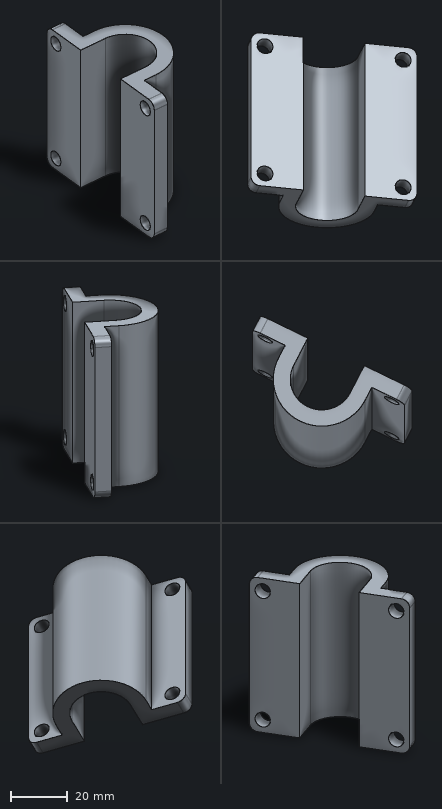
import cadquery as cq

width = 60.0
length = 60.0
depth = 28.3
wall = 6.0
channel_radius = 11.1
corner_radius = 3.1
hole_diameter = 5.65
hole_spacing = 49.9

arch_radius = channel_radius + wall
arch_centre_y = depth - arch_radius


def arch_prism(radius):
    """Straight-sided, round-topped prism rising from the mounting face at Y = 0."""
    return (
        cq.Workplane("XY")
        .moveTo(-radius, 0)
        .lineTo(-radius, arch_centre_y)
        .threePointArc((0, arch_centre_y + radius), (radius, arch_centre_y))
        .lineTo(radius, 0)
        .close()
        .extrude(length / 2, both=True)
    )


def mounting_plate():
    """Plate with rounded corners and a through hole near each corner."""
    plate = cq.Workplane("XY").box(width, wall, length).translate((0, wall / 2, 0))
    plate = plate.edges("|Y").fillet(corner_radius)
    return (
        plate.faces("<Y")
        .workplane(centerOption="CenterOfBoundBox")
        .rect(hole_spacing, hole_spacing, forConstruction=True)
        .vertices()
        .hole(hole_diameter)
    )


result = mounting_plate().union(arch_prism(arch_radius)).cut(arch_prism(channel_radius))